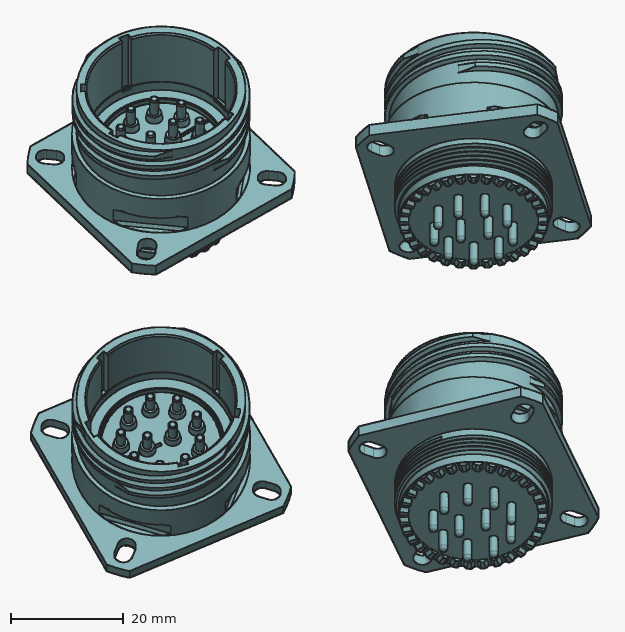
import cadquery as cq
import math


flange_side = 36.51
flange_thickness = 2.36
flange_straight_edge = 30.41
slot_center = 14.03
slot_width = 3.3
slot_straight = 1.75
quadrant_angles = (45, 135, 225, 315)

clearance = 1.0

shell_top = 23.08
shell_radius = 15.0
shoulder_radius = 15.82
shoulder_top = shell_top - 11.88

flat_distance = 14.34
flat_chamfer = 0.55
flat_height = 3.75
flat_lift = 0.1

starts = 3
coupling_lead = 7.62
coupling_crest_radius = 15.75
coupling_root_width = 1.7
coupling_crest_width = 0.93
coupling_start_angle = 241
coupling_sweep = 329
coupling_bottom = shell_top - 8.03
coupling_runout = 11.3
coupling_embed = 0.2

bore_radius = 13.2
bore_chamfer = 0.3
lower_bore_radius = 13.1
lower_bore_top = shell_top - 12.45
seat_z = shell_top - 14.55
well_radius = 11.02
well_chamfer = 0.2
insert_radius = 10.67
insert_face_z = shell_top - 15.27
gap_depth = 0.5

keyway_radius = 14.24
keyway_pocket_radius = 13.24
keyway_pocket_depth = 0.75
main_key_angle = 90
main_key_width = 3.34
minor_key_width = 1.76
minor_key_offsets = (80, 142, 196, 293)

barrel_radius = 14.0
barrel_bottom = -5.6
rear_thread_pitch = 0.945
rear_thread_depth = 0.6
rear_thread_mouth = 0.8
rear_thread_root = 0.1
rear_thread_start_angle = 175
rear_thread_start_z = -1.05
rear_thread_length = 5.0
cutter_overlap = 0.04

ring_radius = 13.3
ring_bottom = -7.45
tooth_count = 32
tooth_radius = 13.14
tooth_inner_radius = 11.5
tooth_bottom = -8.14
notch_root_width = 0.5
notch_mouth_width = 1.7

pin_radius = 0.8
pin_top = shell_top - 10.3
pin_bottom = -12.0
pin_top_chamfer = 0.25
collar_base_radius = 1.5
collar_top_radius = 1.25
collar_height = 1.4
circle_radius = 7.12
paired_pin_angles = (21.9, 62.1, 100.9, 140.1)
single_pin_y = (-circle_radius, -2.31, 2.7)
index_groove_width = 0.54
index_groove_depth = 0.2


def polar(radius, angle):
    """X and Y of a point given by its radius and its angle in degrees."""
    return radius * math.cos(math.radians(angle)), radius * math.sin(math.radians(angle))


def disc(radius, bottom, top):
    return cq.Workplane("XY").workplane(offset=bottom).circle(radius).extrude(top - bottom)


def revolve(points):
    """Solid of revolution about Z from (radius, z) points."""
    return cq.Workplane("XZ").polyline(points).close().revolve(360, (0, 0), (0, 1))


def helical_sweep(profile, lead, height, radius):
    """Right-handed sweep of (radius, z) points, starting on the +X side at z = 0."""
    path = cq.Workplane(cq.Wire.makeHelix(lead, height, radius))
    return cq.Workplane("XZ").polyline(profile).close().sweep(path, isFrenet=True)


def flange():
    plate = cq.Workplane("XY").rect(flange_side, flange_side).extrude(flange_thickness)
    corner_radius = math.hypot(flange_side / 2, flange_straight_edge / 2)
    plate = plate.intersect(disc(corner_radius, 0, flange_thickness))
    for angle in quadrant_angles:
        slot = (
            cq.Workplane("XY")
            .center(slot_center * math.sqrt(2), 0)
            .slot2D(slot_straight + slot_width, slot_width)
            .extrude(flange_thickness)
            .rotate((0, 0, 0), (0, 0, 1), angle)
        )
        plate = plate.cut(slot)
    return plate


def wrench_flat_cutter():
    """Recess on the +X side: a flat with sloping sides above and below."""
    low = flange_thickness + flat_lift
    high = low + flat_height
    ledge = flat_distance + flat_chamfer
    outside = shoulder_radius + clearance
    points = [
        (outside, low),
        (ledge, low),
        (flat_distance, low + flat_chamfer),
        (flat_distance, high - flat_chamfer),
        (ledge, high),
        (outside, high),
    ]
    return cq.Workplane("XZ").polyline(points).close().extrude(shoulder_radius, both=True)


def front_shell():
    shell = disc(shoulder_radius, flange_thickness, shoulder_top)
    shell = shell.union(disc(shell_radius, shoulder_top, shell_top))
    for angle in quadrant_angles:
        shell = shell.cut(wrench_flat_cutter().rotate((0, 0, 0), (0, 0, 1), angle))
    return shell


def runout_cutter(end_angle, direction):
    """Wedge that ramps a thread end from the shell surface up to the crest."""
    outside = coupling_crest_radius + clearance
    crest_angle = end_angle + direction * coupling_runout
    points = [
        polar(shell_radius, end_angle),
        polar(coupling_crest_radius, crest_angle),
        polar(outside, crest_angle),
        polar(outside, end_angle - direction * coupling_runout),
    ]
    bottom = coupling_bottom - coupling_root_width
    return cq.Workplane("XY").workplane(offset=bottom).polyline(points).close().extrude(shell_top - bottom)


def coupling_thread():
    height = coupling_lead * coupling_sweep / 360
    root_half = coupling_root_width / 2
    crest_half = coupling_crest_width / 2
    root_radius = shell_radius - coupling_embed
    profile = [
        (root_radius, -root_half),
        (shell_radius, -root_half),
        (coupling_crest_radius, -crest_half),
        (coupling_crest_radius, crest_half),
        (shell_radius, root_half),
        (root_radius, root_half),
    ]
    strand = helical_sweep(profile, coupling_lead, height, shell_radius)
    strand = strand.rotate((0, 0, 0), (0, 0, 1), coupling_start_angle).translate((0, 0, coupling_bottom))
    strand = strand.cut(runout_cutter(coupling_start_angle, 1))
    return strand.cut(runout_cutter(coupling_start_angle + coupling_sweep, -1))


def keyway(angle, width):
    """Axial slot in the socket wall, sunk behind the rim of the lower bore at its lower end."""
    bottom = lower_bore_top - keyway_pocket_depth
    slot = (
        cq.Workplane("XY", origin=(0, 0, bottom))
        .center(keyway_radius / 2, 0)
        .rect(keyway_radius, width)
        .extrude(shell_top - bottom)
    )
    slot = slot.intersect(disc(keyway_radius, bottom, shell_top))
    slot = slot.cut(disc(keyway_pocket_radius, bottom, lower_bore_top))
    return slot.rotate((0, 0, 0), (0, 0, 1), angle)


def socket():
    gap_floor = insert_face_z - gap_depth
    points = [
        (0, insert_face_z),
        (insert_radius, insert_face_z),
        (insert_radius, gap_floor),
        (well_radius, gap_floor),
        (well_radius, seat_z - well_chamfer),
        (well_radius + well_chamfer, seat_z),
        (lower_bore_radius, seat_z),
        (lower_bore_radius, lower_bore_top),
        (bore_radius, lower_bore_top),
        (bore_radius, shell_top - bore_chamfer),
        (bore_radius + bore_chamfer, shell_top),
        (0, shell_top),
    ]
    cavity = revolve(points).union(keyway(main_key_angle, main_key_width))
    for offset in minor_key_offsets:
        cavity = cavity.union(keyway(main_key_angle + offset, minor_key_width))
    return cavity


def rear_thread_cutter():
    root_radius = barrel_radius - rear_thread_depth
    mouth_radius = barrel_radius + cutter_overlap
    mouth_half = rear_thread_mouth / 2
    root_half = rear_thread_root / 2
    profile = [
        (root_radius, -root_half),
        (mouth_radius, -mouth_half),
        (mouth_radius, mouth_half),
        (root_radius, root_half),
    ]
    cutter = helical_sweep(profile, rear_thread_pitch, rear_thread_length, barrel_radius)
    turns = rear_thread_length / rear_thread_pitch
    bottom_angle = rear_thread_start_angle - turns * 360
    cutter = cutter.rotate((0, 0, 0), (0, 0, 1), bottom_angle)
    return cutter.translate((0, 0, rear_thread_start_z - rear_thread_length))


def rear_teeth():
    teeth = disc(tooth_radius, tooth_bottom, ring_bottom).cut(
        disc(tooth_inner_radius, tooth_bottom, ring_bottom)
    )
    notch_points = [
        (-notch_mouth_width / 2, tooth_bottom),
        (-notch_root_width / 2, ring_bottom),
        (notch_root_width / 2, ring_bottom),
        (notch_mouth_width / 2, tooth_bottom),
    ]
    notch = cq.Workplane("YZ").polyline(notch_points).close().extrude(ring_radius)
    pitch_angle = 360 / tooth_count
    for index in range(tooth_count):
        teeth = teeth.cut(notch.rotate((0, 0, 0), (0, 0, 1), (index + 0.5) * pitch_angle))
    return teeth


def rear_barrel():
    barrel = disc(barrel_radius, barrel_bottom, 0)
    barrel = barrel.faces("<Z").chamfer(barrel_radius - ring_radius)
    barrel = barrel.cut(rear_thread_cutter())
    return barrel.union(disc(ring_radius, ring_bottom, 0)).union(rear_teeth())


def contact():
    """One pin with a round rear tip and the tapered sealing collar around its base."""
    collar_top = insert_face_z + collar_height
    tip_center = pin_bottom + pin_radius
    profile = (
        cq.Workplane("XZ")
        .moveTo(0, pin_bottom)
        .radiusArc((pin_radius, tip_center), -pin_radius)
        .lineTo(pin_radius, insert_face_z)
        .lineTo(collar_base_radius, insert_face_z)
        .lineTo(collar_top_radius, collar_top)
        .lineTo(pin_radius, collar_top)
        .lineTo(pin_radius, pin_top - pin_top_chamfer)
        .lineTo(pin_radius - pin_top_chamfer, pin_top)
        .lineTo(0, pin_top)
        .close()
    )
    return profile.revolve(360, (0, 0), (0, 1))


def contact_positions():
    positions = [(0, y) for y in single_pin_y]
    for angle in paired_pin_angles:
        positions.append(polar(circle_radius, 90 - angle))
        positions.append(polar(circle_radius, 90 + angle))
    return positions


def index_groove():
    return (
        cq.Workplane("XY", origin=(0, insert_radius / 2, insert_face_z - index_groove_depth))
        .rect(index_groove_width, insert_radius)
        .extrude(index_groove_depth)
    )


result = flange().union(front_shell()).union(rear_barrel())
for start in range(starts):
    result = result.union(coupling_thread().rotate((0, 0, 0), (0, 0, 1), start * 360 / starts))
result = result.cut(socket()).cut(index_groove())
for x, y in contact_positions():
    result = result.union(contact().translate((x, y, 0)))